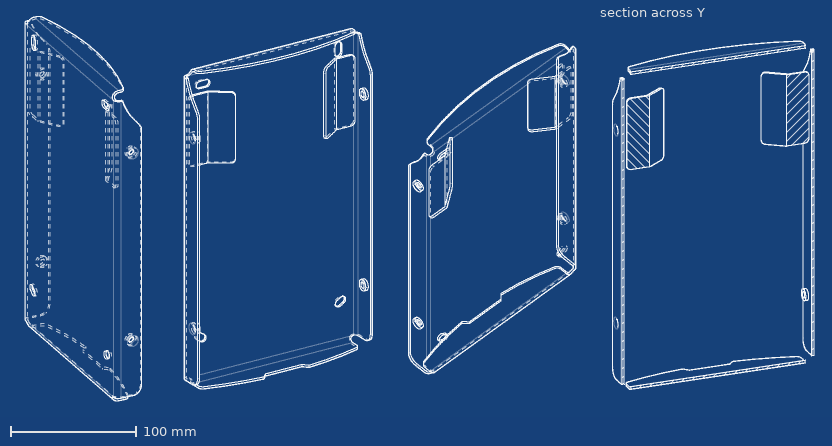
import cadquery as cq
import math

WIDTH = 165.5
HEIGHT = 275.0
SHEET = 2.0
STOCK_DEPTH = 55.0

SIDE_HALF_LENGTH = 131.5
SIDE_DEPTH = 22.8
SIDE_BEND_RADIUS = 4.5
SIDE_CORNER_RADIUS = 7.7
SIDE_SLOPE_START_Z = 105.0
SIDE_SLOPE_END = (13.5, 116.3)
SIDE_HOLLOW_MIDDLE = (9.4, 123.5)
SIDE_SHOULDER_DEPTH = 6.0

END_BEND_RADIUS = HEIGHT / 2 - SIDE_HALF_LENGTH
END_HALF_WIDTH = 75.0
END_CORNER_RADIUS = 4.0
TOP_CROWN_DEPTH = 22.3
TOP_CROWN_RADIUS = 255.8
BOTTOM_CROWN_DEPTH = 26.0
BOTTOM_CROWN_RADIUS = 261.2
RELIEF_RADIUS = 3.5

NOTCH_FLOOR_DEPTH = 21.0
NOTCH_FLOOR_HALF_WIDTH = 17.3
NOTCH_MOUTH_HALF_WIDTH = 22.3

SLOT_WIDTH = 6.3
UPPER_SLOT_X = 64.0
UPPER_SLOT_Z = 120.7
UPPER_SLOT_LENGTH = 13.0
LOWER_SLOT_X = 66.0
LOWER_SLOT_Z = -99.3
LOWER_SLOT_LENGTH = 10.2
LOWER_SLOT_TILT = 32.0

COLLAR_DEPTH = 15.0
COLLAR_Z = 83.0
COLLAR_LENGTH = 4.5
COLLAR_DIAMETER = 9.5
COLLAR_HOLE_DIAMETER = 5.0
COLLAR_MOUTH_RADIUS = (COLLAR_DIAMETER - COLLAR_HOLE_DIAMETER) / 2

BRACKET_SHEET = SHEET
BRACKET_OUTER_X = 78.5
BRACKET_BEND_X = 60.8
BRACKET_ARM_ANGLE = 35.0
BRACKET_ARM_LENGTH = 22.0
BRACKET_TOP_Z = 113.8
BRACKET_CORNER_RADIUS = 3.8
BRACKET_LENGTH = 2 * (BRACKET_TOP_Z - COLLAR_Z)


def box(width, depth, height, front=0.0):
    """Box centred in X and Z whose front face lies on y = front."""
    return cq.Workplane("XY").box(width, depth, height, centered=(True, False, True)).translate((0, front, 0))


def bent_sheet(width, height, bent_edges, radius):
    """Front face with two opposite flanges folded back along the selected edges, before trimming.

    `bent_edges` is "|Z" for flanges on the sides or "|X" for flanges at the top and bottom.
    """
    inner_width = width - 2 * SHEET if bent_edges == "|Z" else width
    inner_height = height - 2 * SHEET if bent_edges == "|X" else height
    outer = box(width, STOCK_DEPTH, height).edges(bent_edges).edges("<Y").fillet(radius)
    inner = box(inner_width, STOCK_DEPTH, inner_height, SHEET)
    inner = inner.edges(bent_edges).edges("<Y").fillet(radius - SHEET)
    return outer.cut(inner)


def round_corner(outline, corner, radius):
    """Fillet the edge of an extruded outline that passes through `corner`."""
    return outline.edges(cq.selectors.NearestToPointSelector(corner)).fillet(radius)


def side_channel():
    """Front face with both side flanges, trimmed to the side outline."""
    outline = (
        cq.Workplane("YZ")
        .moveTo(0, -SIDE_HALF_LENGTH)
        .lineTo(SIDE_DEPTH, -SIDE_HALF_LENGTH)
        .lineTo(SIDE_DEPTH, SIDE_SLOPE_START_Z)
        .lineTo(*SIDE_SLOPE_END)
        .threePointArc(SIDE_HOLLOW_MIDDLE, (SIDE_SHOULDER_DEPTH, SIDE_HALF_LENGTH))
        .lineTo(0, SIDE_HALF_LENGTH)
        .close()
        .extrude(WIDTH, both=True)
    )
    for corner_z in (-SIDE_HALF_LENGTH, SIDE_SLOPE_START_Z):
        outline = round_corner(outline, (0, SIDE_DEPTH, corner_z), SIDE_CORNER_RADIUS)
    return bent_sheet(WIDTH, 2 * SIDE_HALF_LENGTH, "|Z", SIDE_BEND_RADIUS).intersect(outline)


def crowned_outline(crown_depth, crown_radius):
    """Prism along Z with the arched back edge of a top or bottom flange."""
    edge_depth = crown_depth - crown_radius + math.sqrt(crown_radius**2 - END_HALF_WIDTH**2)
    return (
        cq.Workplane("XY")
        .moveTo(-END_HALF_WIDTH, 0)
        .lineTo(-END_HALF_WIDTH, edge_depth)
        .threePointArc((0, crown_depth), (END_HALF_WIDTH, edge_depth))
        .lineTo(END_HALF_WIDTH, 0)
        .close()
        .extrude(HEIGHT, both=True)
        .edges("|Z")
        .edges(">Y")
        .fillet(END_CORNER_RADIUS)
    )


def relief_fillet(side, end):
    """Concave corner fillet where a top or bottom flange widens into the front face."""
    x = side * END_HALF_WIDTH
    z = end * SIDE_HALF_LENGTH
    bulge = RELIEF_RADIUS * (1 - math.sqrt(0.5))
    return (
        cq.Workplane("XZ")
        .moveTo(x, z)
        .lineTo(x + side * RELIEF_RADIUS, z)
        .threePointArc((x + side * bulge, z + end * bulge), (x, z + end * RELIEF_RADIUS))
        .close()
        .extrude(-STOCK_DEPTH)
    )


def end_flange(end, outline):
    """Bend and flange at the top (end = 1) or bottom (end = -1)."""
    sheet = bent_sheet(WIDTH, HEIGHT, "|X", END_BEND_RADIUS)
    beyond_sides = box(WIDTH, STOCK_DEPTH, END_BEND_RADIUS).translate(
        (0, 0, end * (HEIGHT - END_BEND_RADIUS) / 2)
    )
    sheet = sheet.intersect(beyond_sides)
    flange = sheet.intersect(outline)
    for side in (-1, 1):
        flange = flange.union(sheet.intersect(relief_fillet(side, end)))
    return flange


def crown_notch():
    """Trapezoidal cutter for the middle of the bottom flange."""
    return (
        cq.Workplane("XY")
        .polyline([
            (-NOTCH_FLOOR_HALF_WIDTH, NOTCH_FLOOR_DEPTH),
            (-NOTCH_MOUTH_HALF_WIDTH, BOTTOM_CROWN_DEPTH),
            (NOTCH_MOUTH_HALF_WIDTH, BOTTOM_CROWN_DEPTH),
            (NOTCH_FLOOR_HALF_WIDTH, NOTCH_FLOOR_DEPTH),
        ])
        .close()
        .extrude(-HEIGHT)
    )


def slot_cutter(x, z, length, tilt):
    """Slot through the front face, tilted from the X axis."""
    return (
        cq.Workplane("XZ", origin=(x, 0, z))
        .slot2D(length, SLOT_WIDTH, tilt)
        .extrude(-SHEET)
    )


def add_collar(panel, side, z):
    """Formed hole: a collar inside the side flange and a rounded mouth on its outer face."""
    start = cq.Plane(origin=(side * WIDTH / 2, COLLAR_DEPTH, z), xDir=(0, 1, 0), normal=(-side, 0, 0))
    collar = cq.Workplane(start).circle(COLLAR_DIAMETER / 2).extrude(COLLAR_LENGTH)
    hole_radius = COLLAR_HOLE_DIAMETER / 2
    mouth_radius = COLLAR_DIAMETER / 2
    bulge = COLLAR_MOUTH_RADIUS * (1 - math.sqrt(0.5))
    profile_plane = cq.Plane(origin=start.origin.toTuple(), xDir=(0, 1, 0), normal=(0, 0, side))
    hole = (
        cq.Workplane(profile_plane)
        .lineTo(mouth_radius, 0)
        .threePointArc((hole_radius + bulge, bulge), (hole_radius, COLLAR_MOUTH_RADIUS))
        .lineTo(hole_radius, COLLAR_LENGTH)
        .lineTo(0, COLLAR_LENGTH)
        .close()
        .revolve(360, (0, 0, 0), (0, 1, 0))
    )
    return panel.union(collar).cut(hole)


def make_panel():
    """Panel with its four flanges, slots and collars as one solid."""
    top_outline = crowned_outline(TOP_CROWN_DEPTH, TOP_CROWN_RADIUS)
    bottom_outline = crowned_outline(BOTTOM_CROWN_DEPTH, BOTTOM_CROWN_RADIUS).cut(crown_notch())
    panel = side_channel().union(end_flange(1, top_outline)).union(end_flange(-1, bottom_outline))

    panel = panel.cut(slot_cutter(-UPPER_SLOT_X, UPPER_SLOT_Z, UPPER_SLOT_LENGTH, 90))
    panel = panel.cut(slot_cutter(UPPER_SLOT_X, UPPER_SLOT_Z, UPPER_SLOT_LENGTH, 0))
    for side in (-1, 1):
        tilt = side * LOWER_SLOT_TILT
        panel = panel.cut(slot_cutter(side * LOWER_SLOT_X, LOWER_SLOT_Z, LOWER_SLOT_LENGTH, tilt))
        for z in (-COLLAR_Z, COLLAR_Z):
            panel = add_collar(panel, side, z)
    return panel


def make_bracket(side):
    """Foot lying on the front face and an arm that slopes inward across the upper side hole."""
    angle = math.radians(BRACKET_ARM_ANGLE)
    arm_run = BRACKET_ARM_LENGTH * math.cos(angle)
    arm_rise = BRACKET_ARM_LENGTH * math.sin(angle)
    sheet_run = BRACKET_SHEET * math.sin(angle)
    sheet_rise = BRACKET_SHEET * math.cos(angle)
    front = SHEET
    back = front + BRACKET_SHEET
    tip_x = BRACKET_BEND_X - arm_run
    tip_y = back + arm_rise
    front_bend_x = BRACKET_BEND_X - BRACKET_SHEET * math.tan(angle / 2)
    section = [
        (BRACKET_OUTER_X, front),
        (front_bend_x, front),
        (tip_x - sheet_run, tip_y - sheet_rise),
        (tip_x, tip_y),
        (BRACKET_BEND_X, back),
        (BRACKET_OUTER_X, back),
    ]
    bracket = (
        cq.Workplane("XY", origin=(0, 0, COLLAR_Z))
        .polyline([(side * x, y) for x, y in section])
        .close()
        .extrude(BRACKET_LENGTH / 2, both=True)
    )
    foot_corners = bracket.edges("|Y")
    arm_normal = cq.Vector(side * sheet_run, sheet_rise, 0)
    arm_corners = bracket.edges(cq.selectors.ParallelDirSelector(arm_normal))
    corners = foot_corners.add(arm_corners)
    return corners.fillet(BRACKET_CORNER_RADIUS)


panel = make_panel()
brackets = [make_bracket(side) for side in (-1, 1)]

result = cq.Compound.makeCompound([panel.solids().val(), *[bracket.solids().val() for bracket in brackets]])